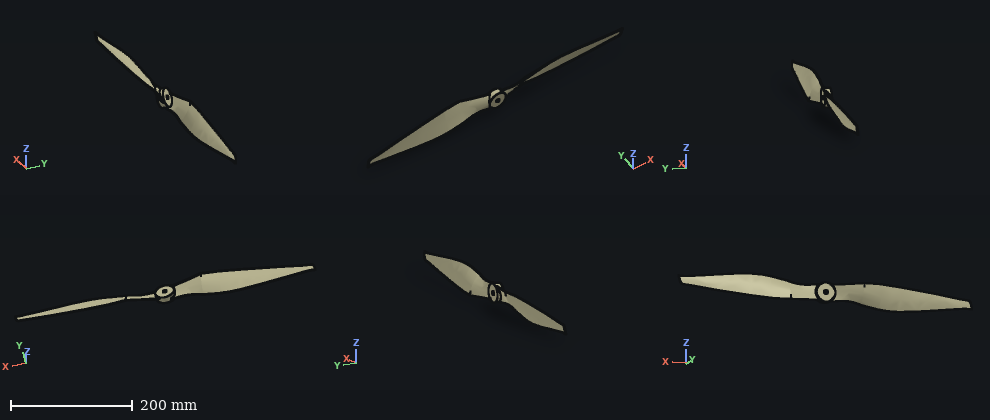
import cadquery as cq

span = 508.0
overall_height = 49.5
blade_length = span / 2
hub_radius = 16.5
hub_thickness = 12.0
bore_radius = 3.0
root_x = 17.0
shank_start = 5.0
edge_thickness = 1.5
tip_height = 13.0

root = (root_x, (3.5, 13.5), (11.5, -13.5), -5.5, -2.0)
neck = (38.5, (3.5, 11.5), (16.5, -15.0), -2.5, 1.0)
knee = (63.5, (2.5, 17.0), (22.5, -17.5), 0.5, 4.0)
inner_stations = [root, neck, knee]
outer_stations = [
    knee,
    (95.5, (3.0, 23.0), (20.0, -17.5), 0.5, 3.5),
    (122.5, (4.0, overall_height / 2), (18.0, -15.0), 0.5, 3.0),
    (152.5, (5.0, 23.0), (16.0, -12.0), 0.5, 2.5),
    (182.0, (5.5, 20.0), (13.5, -9.0), 0.5, 2.0),
    (218.5, (6.5, 15.0), (11.0, -4.5), 0.5, 1.5),
    (blade_length, (7.0, tip_height), (9.5, -1.0), 0.25, 0.5),
]

tip_corner = (blade_length, tip_height)
tip_round_start = (252.0, 5.0)
tip_round_middle = (250.0, 0.5)
tip_round_end = (244.0, -2.0)
trim_margin = 10.0


def section_wire(station):
    """Closed blade section: front and back arcs joined by the two blunt edges."""
    x, (front_y, front_z), (back_y, back_z), front_bow, back_bow = station
    middle_z = (front_z + back_z) / 2
    middle_front_y = (front_y + back_y - edge_thickness) / 2
    middle_back_y = middle_front_y + edge_thickness
    return (
        cq.Workplane("YZ", origin=(x, 0, 0))
        .moveTo(front_y, front_z)
        .threePointArc((middle_front_y + front_bow, middle_z), (back_y - edge_thickness, back_z))
        .lineTo(back_y, back_z)
        .threePointArc((middle_back_y + back_bow, middle_z), (front_y + edge_thickness, front_z))
        .close()
        .val()
    )


def loft_blade(stations):
    return cq.Workplane(cq.Solid.makeLoft([section_wire(station) for station in stations]))


def tip_trim():
    """Material to remove outside the rounded tip outline."""
    outer_x = blade_length + trim_margin
    return (
        cq.Workplane("XZ")
        .moveTo(*tip_corner)
        .lineTo(*tip_round_start)
        .threePointArc(tip_round_middle, tip_round_end)
        .lineTo(tip_round_end[0], tip_round_end[1] - trim_margin)
        .lineTo(outer_x, tip_round_end[1] - trim_margin)
        .lineTo(outer_x, tip_corner[1])
        .close()
        .extrude(-span / 2)
    )


def make_blade():
    shank = (
        cq.Workplane("YZ", origin=(root_x, 0, 0))
        .add(section_wire(root))
        .toPending()
        .extrude(shank_start - root_x)
    )
    outer_blade = loft_blade(outer_stations).cut(tip_trim())
    return shank.union(loft_blade(inner_stations)).union(outer_blade)


hub = cq.Workplane("XZ").circle(hub_radius).extrude(-hub_thickness)
bore = cq.Workplane("XZ").circle(bore_radius).extrude(-hub_thickness)

blade = make_blade()
opposite_blade = blade.rotate((0, 0, 0), (0, 1, 0), 180)
result = hub.union(blade).union(opposite_blade).cut(bore)